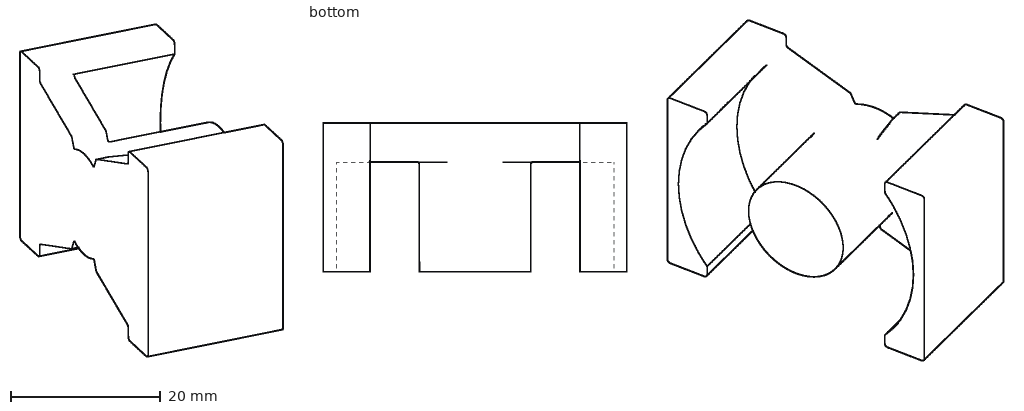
import cadquery as cq
import math

core_length = 40.5
core_depth = 19.9
core_height = 28.0

leg_gap = 28.0
leg_corner_radius = 0.5
post_diameter = 14.9
window_diameter = 37.0

base_thickness = 5.22
rim_thickness = 1.75
draft_angle = 5.0
wing_root_z = 12.0
wing_tip_x = 3.85
wing_slope = 20.0
notch_angle = 65.0
wing_overlap = 2.02
waist_z = 4.85

wing_tip_radius = 0.5
leg_root_radius = 0.5
post_root_radius = 0.3
floor_edge_radius = 0.3

leg_inner_x = leg_gap / 2
leg_width = (core_length - leg_gap) / 2
post_radius = post_diameter / 2
window_radius = window_diameter / 2
back_y = -core_depth / 2
front_y = core_depth / 2
rim_y = back_y + rim_thickness
floor_y = back_y + base_thickness
tolerance = 0.02


def sketch_at(y):
    """XZ workplane at a depth, facing +Y; its local Y axis points along -Z."""
    return cq.Workplane(cq.Plane(origin=(0, y, 0), xDir=(1, 0, 0), normal=(0, 1, 0)))


def fillet_where(part, radius, belongs):
    """Round every edge whose midpoint satisfies the given test."""
    chosen = [edge for edge in part.edges().vals() if belongs(edge.positionAt(0.5))]
    return part.newObject(chosen).fillet(radius)


def make_base():
    """Drafted bow-tie plate: two wings that narrow to a waist inside the post."""
    rise = math.tan(math.radians(wing_slope))
    tip_z = wing_root_z - (leg_inner_x - wing_tip_x) * rise
    end_x = leg_inner_x + wing_overlap
    end_z = wing_root_z + wing_overlap * rise
    waist_x = wing_tip_x - (tip_z - waist_z) / math.tan(math.radians(notch_angle))

    right_edge = [(waist_x, waist_z), (wing_tip_x, tip_z), (end_x, end_z)]
    upper_edge = [(-x, z) for x, z in reversed(right_edge)] + right_edge
    lower_edge = [(x, -z) for x, z in reversed(upper_edge)]
    base = (
        sketch_at(rim_y)
        .polyline(upper_edge + lower_edge)
        .close()
        .extrude(floor_y - rim_y, taper=draft_angle)
    )

    def at_wing_tip(point):
        on_drafted_wall = rim_y + tolerance < point.y < floor_y - tolerance
        return on_drafted_wall and (waist_x + wing_tip_x) / 2 < abs(point.x) < leg_inner_x

    return fillet_where(base, wing_tip_radius, at_wing_tip)


def make_post():
    return sketch_at(rim_y).circle(post_radius).extrude(front_y - rim_y)


def make_leg(side):
    leg = (
        sketch_at(rim_y)
        .center(side * (leg_inner_x + leg_width / 2), 0)
        .rect(leg_width, core_height)
        .extrude(front_y - rim_y)
        .edges("|Y")
        .fillet(leg_corner_radius)
    )
    window = sketch_at(floor_y).circle(window_radius).extrude(front_y - floor_y)
    return leg.cut(window)


def in_drafted_layer(point):
    return rim_y + tolerance < point.y < floor_y + tolerance


def at_floor_edge(point):
    """Rim of the window floor, leaving out its circles at the post and at the window wall."""
    on_floor = abs(point.y - floor_y) < tolerance
    radius = math.hypot(point.x, point.z)
    return on_floor and post_radius + tolerance < radius < window_radius - tolerance


def at_leg_root(point):
    on_leg = abs(abs(point.x) - leg_inner_x) < tolerance
    return on_leg and in_drafted_layer(point) and abs(point.z) < wing_root_z


def at_post_root(point):
    on_post = abs(math.hypot(point.x, point.z) - post_radius) < tolerance
    return on_post and in_drafted_layer(point)


core = make_base().union(make_post())
for side in (-1, 1):
    core = core.union(make_leg(side))

core = fillet_where(core, floor_edge_radius, at_floor_edge)
core = fillet_where(core, leg_root_radius, at_leg_root)
core = fillet_where(core, post_root_radius, at_post_root)

back_outline = core.faces("<Y").wires()
rim = sketch_at(rim_y).add(back_outline).toPending().extrude(-rim_thickness)
result = core.union(rim)